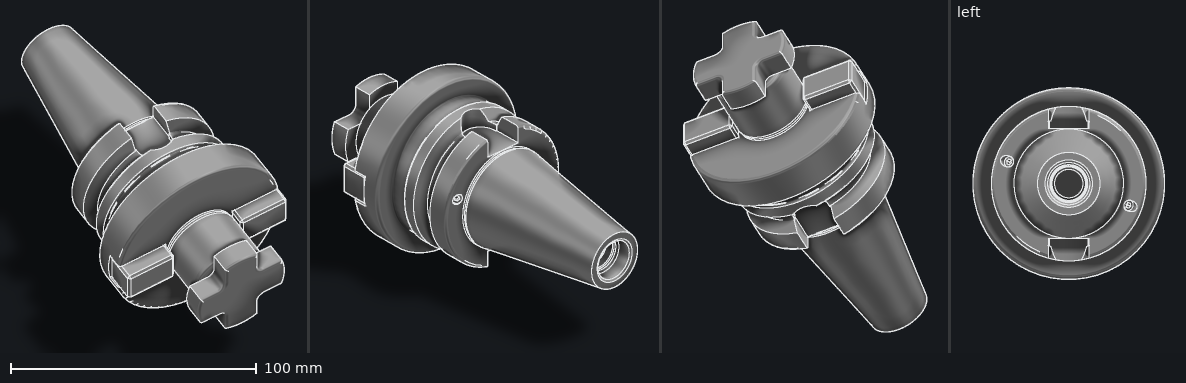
import cadquery as cq
import math

taper_length = 65.5
taper_large_radius = 22.3
taper_ratio = 7 / 24
taper_small_radius = taper_large_radius - taper_length * taper_ratio / 2
relief_groove_radius = 21.7
relief_groove_flank = 0.5

flange_radius = 31.5
flange_start = 67.2
flange_fillet = 1.3
groove_start = 77.0
groove_root_end = 84.0
groove_root_radius = 26.5
groove_flank_angle = 30
root_fillet = 0.5
rear_flange_end = 92.2
collar_radius = 30.5

ring_start = 100.3
ring_end = 115.5
ring_radius = 39.0
ring_fillet = 1.6
ring_root_fillet = 0.9

spigot_radius = 16.0
spigot_end = 139.2
spigot_lead_start = 136.2
spigot_lead_radius = 15.9
spigot_end_fillet = 1.5
undercut_radius = 15.6
undercut_end = 116.3
undercut_runout_end = 117.7

mouth_radius = 9.6
mouth_depth = 0.6
counterbore_radius = 8.6
counterbore_end = 6.8
relief_radius = 7.7
relief_end = 8.8
throat_radius = 7.3
throat_end = 12.8
bore_radius = 6.8

slot_floor = 22.4
slot_width = 16.6
slot_step = 79.8
slot_end = 88.7
slot_end_radius = 7.9

key_width = 14.1
key_inner = spigot_radius
key_outer = 38.1
key_back = 108.3
key_front = 122.3
key_chamfer = 1.0

cap_radius = 20.9
cap_end = 148.4
lobe_width = 15.5
lobe_corner_radius = 3.3
cap_edge_fillet = 1.5
shank_end = 89
shank_tip_chamfer = 1.0

coolant_pitch_radius = 26.7
coolant_angle = 160
coolant_tilt = 35
coolant_radius = 2.2
coolant_depth = 8.9
plug_recess = 1.5
socket_width = 2.1
socket_depth = 2.2


def round_rim(body, station, radius, rank):
    """Fillet one circular edge at a station; rank 0 is the smallest circle there, -1 the largest."""
    margin = 0.07
    at_station = cq.selectors.BoxSelector((station - margin, -1.5, -1.5), (station + margin, 1.5, 1.5))
    return body.edges(at_station).edges(cq.selectors.RadiusNthSelector(rank)).fillet(radius)


def holder_blank():
    """Solid of revolution: taper, grooved flange, ring and spigot."""
    flank_run = (flange_radius - groove_root_radius) * math.tan(math.radians(groove_flank_angle))
    groove_root_start = groove_start + flank_run
    collar_start = rear_flange_end + flange_radius - collar_radius
    outline = [
        (0, 0),
        (0, taper_small_radius),
        (taper_length, taper_large_radius),
        (taper_length + relief_groove_flank, relief_groove_radius),
        (flange_start - relief_groove_flank, relief_groove_radius),
        (flange_start, taper_large_radius),
        (flange_start, flange_radius),
        (groove_start, flange_radius),
        (groove_root_start, groove_root_radius),
        (groove_root_end, groove_root_radius),
        (groove_root_end + flank_run, flange_radius),
        (rear_flange_end, flange_radius),
        (collar_start, collar_radius),
        (ring_start, collar_radius),
        (ring_start, ring_radius),
        (ring_end, ring_radius),
        (ring_end, undercut_radius),
        (undercut_end, undercut_radius),
        (undercut_runout_end, spigot_radius),
        (spigot_lead_start, spigot_radius),
        (spigot_end, spigot_lead_radius),
        (spigot_end, 0),
    ]
    blank = cq.Workplane("XZ").polyline(outline).close().revolve(360, (0, 0, 0), (1, 0, 0))
    blank = round_rim(blank, flange_start, flange_fillet, -1)
    for foot in (groove_root_start, groove_root_end, collar_start):
        blank = round_rim(blank, foot, root_fillet, 0)
    blank = round_rim(blank, ring_start, ring_root_fillet, 0)
    blank = round_rim(blank, ring_start, ring_fillet, -1)
    blank = round_rim(blank, ring_end, ring_fillet, -1)
    return round_rim(blank, spigot_end, spigot_end_fillet, -1)


def bore():
    """Stepped through bore, wider at the small end of the taper."""
    outline = [
        (0, 0),
        (0, mouth_radius),
        (mouth_depth, counterbore_radius),
        (counterbore_end, counterbore_radius),
        (counterbore_end + counterbore_radius - relief_radius, relief_radius),
        (relief_end, relief_radius),
        (relief_end + relief_radius - throat_radius, throat_radius),
        (throat_end, throat_radius),
        (throat_end + throat_radius - bore_radius, bore_radius),
        (spigot_end, bore_radius),
        (spigot_end, 0),
    ]
    return cq.Workplane("XZ").polyline(outline).close().revolve(360, (0, 0, 0), (1, 0, 0))


def drive_slot():
    """Round-ended slot at the top of the flange, wider where it enters."""
    height = flange_radius - slot_floor
    floor = cq.Workplane("XY", origin=(0, 0, slot_floor))
    entry_length = slot_step - taper_length
    entry = floor.center(taper_length + entry_length / 2, 0).rect(entry_length, slot_width).extrude(height)
    round_center = slot_end - slot_end_radius
    round_end = (
        floor.moveTo(taper_length, -slot_end_radius)
        .lineTo(round_center, -slot_end_radius)
        .threePointArc((slot_end, 0), (round_center, slot_end_radius))
        .lineTo(taper_length, slot_end_radius)
        .close()
        .extrude(height)
    )
    return entry.union(round_end)


def key_block(outer):
    """Square bar on the -Y side, from the spigot out to the given distance."""
    length = key_front - key_back
    center = ((key_back + key_front) / 2, -(key_inner + outer) / 2, 0)
    return cq.Workplane("XY", origin=center).box(length, outer - key_inner, key_width)


def drive_key():
    """Key with every edge chamfered, seated in its slot in the ring."""
    return key_block(key_outer).edges().chamfer(key_chamfer)


def coolant_plane():
    """Plane at the mouth of one coolant hole; its normal leans toward the axis."""
    angle = math.radians(coolant_angle)
    tilt = math.radians(coolant_tilt)
    across = math.cos(angle)
    up = math.sin(angle)
    return cq.Plane(
        origin=(flange_start, -coolant_pitch_radius * across, coolant_pitch_radius * up),
        xDir=(0, up, across),
        normal=(math.cos(tilt), math.sin(tilt) * across, -math.sin(tilt) * up),
    )


def coolant_hole():
    """Blind hole cutter, started just outside the flange so that it opens fully."""
    lead = coolant_radius
    mouth = cq.Workplane(coolant_plane())
    return mouth.workplane(offset=-lead).circle(coolant_radius).extrude(lead + coolant_depth)


def coolant_plug():
    """Set screw with a hexagon socket, seated at the bottom of its hole."""
    head = cq.Workplane(coolant_plane()).workplane(offset=plug_recess)
    body = head.circle(coolant_radius).extrude(coolant_depth - plug_recess)
    socket = head.polygon(6, socket_width, circumscribed=True).extrude(socket_depth)
    return body.cut(socket)


def cap_screw():
    """Four-lobed head with a plain shank that fills the bore."""
    thickness = cap_end - spigot_end
    face = cq.Workplane("YZ", origin=(spigot_end, 0, 0))
    cross = face.rect(lobe_width, 2 * cap_radius + lobe_width).extrude(thickness)
    cross = cross.union(face.rect(2 * cap_radius + lobe_width, lobe_width).extrude(thickness))
    inner_corners = cq.selectors.BoxSelector(
        (spigot_end, -lobe_width, -lobe_width), (cap_end, lobe_width, lobe_width)
    )
    cross = cross.edges("|X").edges(inner_corners).fillet(lobe_corner_radius)
    head = cross.intersect(face.circle(cap_radius).extrude(thickness))
    head = head.faces(">X").edges().fillet(cap_edge_fillet)
    shank = cq.Workplane("YZ", origin=(shank_end, 0, 0)).circle(bore_radius).extrude(spigot_end - shank_end)
    shank = shank.faces("<X").edges().chamfer(shank_tip_chamfer)
    return head.union(shank)


def both_sides(shape):
    """The shape and its copy turned half a revolution about the X axis."""
    return [shape.rotate((0, 0, 0), (1, 0, 0), turn) for turn in (0, 180)]


holder = holder_blank().cut(bore())
for cutter in (drive_slot(), key_block(ring_radius), coolant_hole()):
    for copy in both_sides(cutter):
        holder = holder.cut(copy)

keys = both_sides(drive_key())
plugs = both_sides(coolant_plug())
screw = cap_screw()

result = cq.Compound.makeCompound(
    [holder.val(), screw.val()] + [key.val() for key in keys] + [plug.val() for plug in plugs]
)